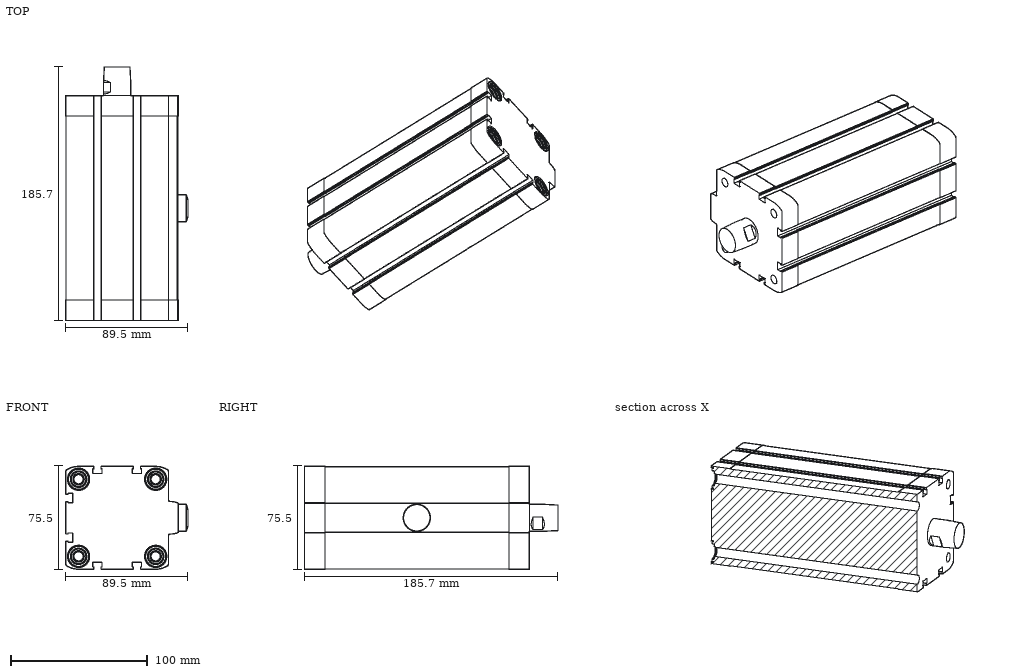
import cadquery as cq
import math

overall_length = 185.7
housing_length = 164.7
cap_length = 15.0
cap_width = 75.5
tube_inset = 0.28

shoulder_start = 28.0
shoulder_radius = 17.0
corner_radius = 1.9

slot_offset = 14.5
slot_mouth_width = 5.2
slot_width = 6.7
slot_lip = 1.7
slot_edge_chamfer = 0.4
slot_depth = 5.2

boss_height = 7.0
boss_end = cap_width / 2 + boss_height
boss_half_height = 12.0
boss_crown_radius = 18.5
boss_corner = 0.5
boss_root_fillet = 0.7

hole_offset = 28.2
through_diameter = 6.7
through_mouth_diameter = 8.4
socket_floor_diameter = 10.5
socket_diameter = 11.5
socket_mouth_diameter = 12.0
collar_diameter = 15.5
groove_diameter = 16.3
groove_depth = 1.5
collar_setback = 0.5
collar_chamfer = 0.4
socket_wall_end = 1.9

rod_diameter = 20.0
rod_tip_diameter = 19.0
rod_taper_length = 10.5
flat_spacing = 17.0
flat_length = 6.7
flat_start = 2.8
flat_angle = 29

plug_diameter = 20.0
plug_end_diameter = 12.0
plug_shoulder = 5.5
plug_length = 7.0
plug_chamfer = 0.4
plug_y = 82.3


def shoulder_box(half_width, start, length):
    """Square bar along Y whose top and bottom faces curve down to the sides."""
    shoulder_z = half_width - shoulder_radius
    corner_x = half_width - corner_radius
    reach = shoulder_radius - corner_radius
    rise = math.sqrt(reach**2 - (corner_x - shoulder_start) ** 2)
    corner_z = shoulder_z + rise
    joint_x = shoulder_start + (corner_x - shoulder_start) * shoulder_radius / reach
    joint_z = shoulder_z + rise * shoulder_radius / reach
    half_bar = (
        cq.Workplane("XZ", origin=(0, start, 0))
        .moveTo(-half_width, 0)
        .lineTo(-half_width, corner_z)
        .radiusArc((-joint_x, joint_z), corner_radius)
        .radiusArc((-shoulder_start, half_width), shoulder_radius)
        .lineTo(shoulder_start, half_width)
        .radiusArc((joint_x, joint_z), shoulder_radius)
        .radiusArc((half_width, corner_z), corner_radius)
        .lineTo(half_width, 0)
        .close()
        .extrude(-length)
    )
    return half_bar.union(half_bar.mirror("XY"))


def boss_rib(inset, start, length):
    """Rib on the +X face with crowned flanks, bevelled outer edges and filleted roots."""
    side = cap_width / 2 - inset
    end = boss_end - inset
    flank = side + boss_root_fillet
    flank_z = boss_half_height - inset
    root_z = flank_z + boss_root_fillet
    crown_end = end - boss_corner
    crown_drop = boss_crown_radius - math.sqrt(boss_crown_radius**2 - (crown_end - flank) ** 2)
    crown_z = flank_z - crown_drop
    half_rib = (
        cq.Workplane("XZ", origin=(0, start, 0))
        .lineTo(0, root_z)
        .lineTo(side, root_z)
        .radiusArc((flank, flank_z), -boss_root_fillet)
        .radiusArc((crown_end, crown_z), boss_crown_radius)
        .lineTo(end, crown_z - boss_corner)
        .lineTo(end, 0)
        .close()
        .extrude(-length)
    )
    return half_rib.union(half_rib.mirror("XY"))


def slot_cutter(half_width, side_offset, start, length):
    """T-slot along Y that opens through the top face; its floor is level in all sections."""
    lip = half_width - slot_lip
    floor = cap_width / 2 - slot_depth
    mouth = slot_mouth_width / 2
    half_slot = (
        cq.Workplane("XZ", origin=(0, start, 0))
        .moveTo(0, floor)
        .lineTo(slot_width / 2, floor)
        .lineTo(slot_width / 2, lip)
        .lineTo(mouth, lip)
        .lineTo(mouth, half_width - slot_edge_chamfer)
        .lineTo(mouth + slot_edge_chamfer, half_width)
        .lineTo(0, half_width)
        .close()
        .extrude(-length)
    )
    return half_slot.union(half_slot.mirror("YZ")).translate((side_offset, 0, 0))


def section(inset, start, length):
    """One stretch of the housing: square bar, boss rib and six T-slots."""
    half_width = cap_width / 2 - inset
    bar = shoulder_box(half_width, start, length).union(boss_rib(inset, start, length))
    for side in (-1, 1):
        slot = slot_cutter(half_width, side * slot_offset, start, length)
        for turn in (0, 180, -90):
            bar = bar.cut(slot.rotate((0, 0, 0), (0, 1, 0), turn))
    return bar


def hole_cutter():
    """Stepped mounting hole along Y at X = Z = 0; all its sloping faces lie at 45 degrees."""
    mouth_chamfer = (socket_mouth_diameter - socket_diameter) / 2
    socket_floor = socket_wall_end + (socket_diameter - socket_floor_diameter) / 2
    through_start = socket_floor + (through_mouth_diameter - through_diameter) / 2
    return (
        cq.Workplane("XY")
        .lineTo(groove_diameter / 2, 0)
        .lineTo(groove_diameter / 2, groove_depth)
        .lineTo(collar_diameter / 2, groove_depth)
        .lineTo(collar_diameter / 2, collar_setback + collar_chamfer)
        .lineTo(collar_diameter / 2 - collar_chamfer, collar_setback)
        .lineTo(socket_mouth_diameter / 2, collar_setback)
        .lineTo(socket_diameter / 2, collar_setback + mouth_chamfer)
        .lineTo(socket_diameter / 2, socket_wall_end)
        .lineTo(socket_floor_diameter / 2, socket_floor)
        .lineTo(through_mouth_diameter / 2, socket_floor)
        .lineTo(through_diameter / 2, through_start)
        .lineTo(through_diameter / 2, housing_length)
        .lineTo(0, housing_length)
        .close()
        .revolve(360, (0, 0, 0), (0, 1, 0))
    )


def make_housing():
    housing = section(0, 0, cap_length)
    housing = housing.union(section(tube_inset, cap_length, housing_length - 2 * cap_length))
    housing = housing.union(section(0, housing_length - cap_length, cap_length))

    for x_side in (-1, 1):
        for z_side in (-1, 1):
            hole = hole_cutter().translate((x_side * hole_offset, 0, z_side * hole_offset))
            housing = housing.cut(hole)
    return housing


def make_rod():
    """Piston rod with a tapered tip and two opposite wrench flats."""
    tip = overall_length
    taper_start = tip - rod_taper_length
    rod = (
        cq.Workplane("XY")
        .moveTo(0, housing_length)
        .lineTo(rod_diameter / 2, housing_length)
        .lineTo(rod_diameter / 2, taper_start)
        .lineTo(rod_tip_diameter / 2, tip)
        .lineTo(0, tip)
        .close()
        .revolve(360, (0, 0, 0), (0, 1, 0))
    )
    flat_depth = (rod_diameter - flat_spacing) / 2
    flat_y = housing_length + flat_start
    notch = (
        cq.Workplane("XY")
        .moveTo(-flat_spacing / 2, flat_y)
        .lineTo(-flat_spacing / 2, flat_y + flat_length)
        .lineTo(-rod_diameter / 2, flat_y + flat_length + flat_depth)
        .lineTo(-rod_diameter / 2, flat_y - flat_depth)
        .close()
        .extrude(rod_diameter / 2, both=True)
    )
    for turn in (0, 180):
        rod = rod.cut(notch.rotate((0, 0, 0), (0, 1, 0), flat_angle + turn))
    return rod


def make_plug():
    """Round plug with a coned end, standing on the boss rib."""
    seat = boss_end - tube_inset
    end = boss_end + plug_length
    return (
        cq.Workplane("XY")
        .moveTo(seat, 0)
        .lineTo(seat, plug_diameter / 2)
        .lineTo(boss_end + plug_shoulder, plug_diameter / 2)
        .lineTo(boss_end + plug_shoulder + plug_chamfer, plug_diameter / 2 - plug_chamfer)
        .lineTo(end, plug_end_diameter / 2)
        .lineTo(end, 0)
        .close()
        .revolve(360, (0, 0, 0), (1, 0, 0))
        .translate((0, plug_y, 0))
    )


housing = make_housing()
rod = make_rod()
plug = make_plug()

result = cq.Compound.makeCompound([housing.val(), rod.val(), plug.val()])